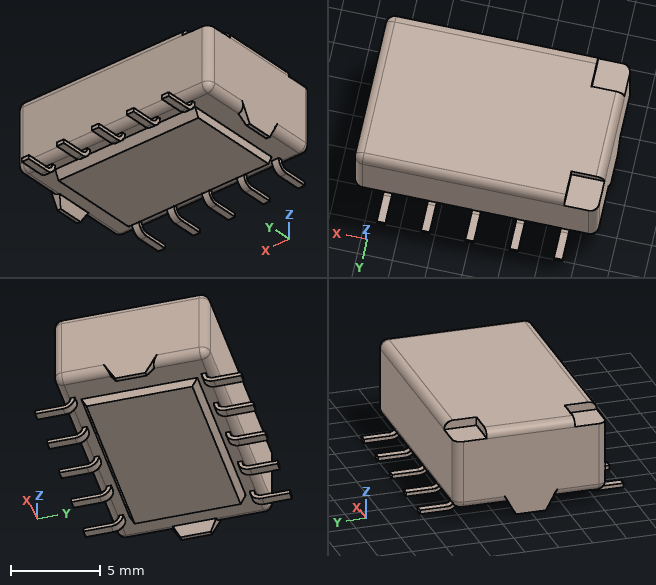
import cadquery as cq

length = 14.0
width_over_pins = 12.0
height = 5.4

body_width = 9.0
standoff = 0.7
edge_radius = 0.5
notch_side = 1.9
body_height = height - standoff
body_top_edge = height - edge_radius
body_bottom_edge = standoff + edge_radius

base_top_width = 6.75
base_bottom_width = 6.16
base_clearance = 0.1

foot_top_width = 3.1
foot_bottom_width = 1.76
foot_bottom_depth = 0.25
foot_top_depth = edge_radius

pins_per_side = 5
pin_row_length = 10.16
pin_pitch = pin_row_length / (pins_per_side - 1)
pin_width = 0.5
pin_thickness = 0.25
pin_inner_face = 3.68
bend_outer_radius = standoff
bend_inner_radius = bend_outer_radius - pin_thickness
pin_embed = 0.14


def make_housing():
    """Rounded box with two square notches in the top corners at the -X end."""
    housing = (
        cq.Workplane("XY")
        .workplane(offset=standoff)
        .box(length, body_width, body_height, centered=(True, True, False))
        .edges()
        .fillet(edge_radius)
    )
    notches = (
        cq.Workplane("XY")
        .workplane(offset=body_top_edge)
        .pushPoints([
            (-(length - notch_side) / 2, side * (body_width - notch_side) / 2)
            for side in (-1, 1)
        ])
        .box(notch_side, notch_side, edge_radius, centered=(True, True, False))
    )
    return housing.cut(notches)


def symmetric_trapezoid(bottom_width, top_width, bottom, top):
    """Trapezoid in the YZ plane, symmetric about the Z axis."""
    return cq.Workplane("YZ").polyline([
        (-bottom_width / 2, bottom),
        (bottom_width / 2, bottom),
        (top_width / 2, top),
        (-top_width / 2, top),
    ]).close()


def make_base():
    """Plate with sloping long sides, reaching from the first pin centre to the last."""
    return symmetric_trapezoid(
        base_bottom_width, base_top_width, base_clearance, standoff
    ).extrude(pin_row_length / 2, both=True)


def make_feet():
    """Tapered foot flush with each end face, merging into the lower housing edge."""
    end_outline = symmetric_trapezoid(
        foot_bottom_width, foot_top_width, 0, body_bottom_edge
    ).extrude(length / 2, both=True)
    end_face = -length / 2
    tapered_strip = (
        cq.Workplane("XZ")
        .polyline([
            (end_face, 0),
            (end_face + foot_bottom_depth, 0),
            (end_face + foot_top_depth, standoff),
            (end_face + foot_top_depth, body_bottom_edge),
            (end_face, body_bottom_edge),
        ])
        .close()
        .extrude(foot_top_width / 2, both=True)
    )
    foot = tapered_strip.intersect(end_outline)
    return foot.union(foot.mirror("YZ"))


def make_pins():
    """Two rows of pins that drop from the housing and bend outward to the seating plane."""
    pin_outer_face = pin_inner_face + pin_thickness
    pin_tip = width_over_pins / 2
    pin_root = standoff + pin_embed
    bend_end = pin_inner_face + bend_outer_radius
    pin = (
        cq.Workplane("YZ")
        .moveTo(pin_inner_face, pin_root)
        .lineTo(pin_inner_face, bend_outer_radius)
        .radiusArc((bend_end, 0), -bend_outer_radius)
        .lineTo(pin_tip, 0)
        .lineTo(pin_tip, pin_thickness)
        .lineTo(bend_end, pin_thickness)
        .radiusArc((pin_outer_face, bend_outer_radius), bend_inner_radius)
        .lineTo(pin_outer_face, pin_root)
        .close()
        .extrude(pin_width / 2, both=True)
    )
    row = cq.Workplane("XY")
    for index in range(pins_per_side):
        offset = index * pin_pitch - pin_row_length / 2
        row = row.union(pin.translate((offset, 0, 0)))
    return row.union(row.mirror("XZ"))


result = make_housing().union(make_base()).union(make_feet()).union(make_pins())